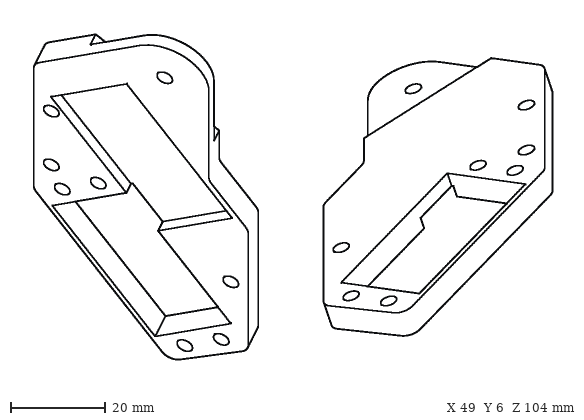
import cadquery as cq
import math

width = 49.0
height = 104.0
thickness = 6.0
tilt = math.radians(35)
rise = math.tan(tilt)
drop = 1 / rise
foot_lean = math.radians(32.8)

ear_radius = 10.1
ear_right = 40.0
ear_x = ear_right - ear_radius
ear_z = height - ear_radius
corner_radius = 3.0

ledge_distance = 10.7
relief_depth = thickness / 2

left_top_z = ear_z + ear_radius / math.cos(tilt) - ear_x * rise
left_bottom_z = 43.2
right_top_z = 51.1
notch_z = right_top_z + (width - ear_right) * drop
ear_corner_z = left_top_z + ear_right * rise
tip_half_angle = (math.pi / 2 + tilt - foot_lean) / 2
tip_z = corner_radius * (1 - math.sin(foot_lean + tip_half_angle) / math.sin(tip_half_angle))
tip_x = (left_bottom_z - tip_z) / drop
right_bottom_z = tip_z + (width - tip_x) * math.tan(foot_lean)

opening_width = 21.1
window_corner = (4.3, 39.3)
window_length = 41.0
pocket_corner = (4.0, 75.8)
pocket_length = 42.0
pocket_depth = 2.7

hole_diameter = 3.5
hole_places = [
    (ear_x, ear_z),
    (4.1, 71.0),
    (4.1, 52.9),
    (14.8, 51.6),
    (6.5, 45.9),
    (45.0, 31.9),
    (42.8, 11.5),
    (34.5, 5.7),
]


def extrude_back(sketch, depth):
    """Extrude an XZ sketch from the front face toward +Y."""
    return sketch.extrude(-depth)


def tilted_box(corner, length, depth):
    """Box sunk from the front face, leaning by the tilt, placed by its left corner."""
    x, z = corner
    across = (opening_width * math.cos(tilt), opening_width * math.sin(tilt))
    along = (length * math.sin(tilt), -length * math.cos(tilt))
    sketch = cq.Workplane("XZ").polyline([
        (x, z),
        (x + across[0], z + across[1]),
        (x + across[0] + along[0], z + across[1] + along[1]),
        (x + along[0], z + along[1]),
    ]).close()
    return extrude_back(sketch, depth)


def make_plate():
    small_corners = [
        (ear_right, notch_z),
        (width, right_top_z),
        (width, right_bottom_z),
        (tip_x, tip_z),
        (0, left_bottom_z),
        (0, left_top_z),
    ]
    outline = cq.Workplane("XZ").polyline([(ear_right, ear_corner_z)] + small_corners).close()
    plate = extrude_back(outline, thickness)
    plate = plate.edges("|Y").edges(">Z").fillet(ear_radius)
    for x, z in small_corners:
        corner_edge = cq.selectors.NearestToPointSelector((x, thickness / 2, z))
        plate = plate.edges("|Y").edges(corner_edge).fillet(corner_radius)
    return plate


def make_relief():
    """Block behind the ear whose underside is the ledge, falling toward +X at the tilt."""
    ledge_side = 2 * width
    block = cq.Workplane("XY").box(ledge_side, relief_depth, height, centered=(True, False, False))
    block = block.translate((0, 0, -ledge_distance))
    block = block.rotate((0, 0, 0), (0, 1, 0), math.degrees(tilt))
    return block.translate((ear_x, thickness - relief_depth, ear_z))


def make_holes():
    circles = cq.Workplane("XZ").pushPoints(hole_places).circle(hole_diameter / 2)
    return extrude_back(circles, thickness)


result = (
    make_plate()
    .cut(make_relief())
    .cut(tilted_box(window_corner, window_length, thickness))
    .cut(tilted_box(pocket_corner, pocket_length, pocket_depth))
    .cut(make_holes())
)